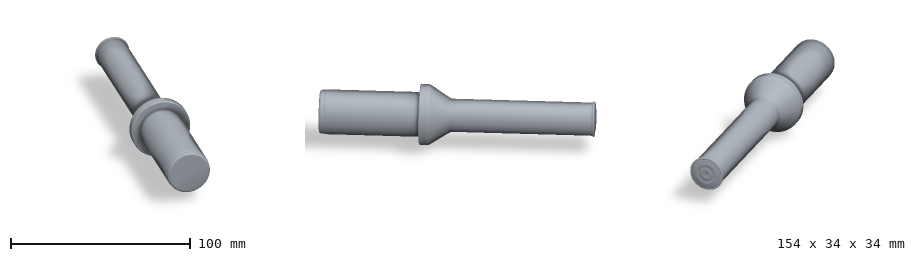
import cadquery as cq
import math

total_length = 154.0

shaft_radius = 18.5 / 2
bead_face_radius = 9.0
bead_peak_x = 1.0
bead_peak_radius = 9.9
bead_back_x = 1.5
bead_back_radius = 9.7
bead_end_x = 2.6

tail_length = bead_end_x - bead_back_x
tail_rise = bead_back_radius - shaft_radius
tail_arc_radius = (tail_length**2 + tail_rise**2) / (2 * tail_rise)
tail_half_angle = math.asin(tail_length / tail_arc_radius) / 2
tail_middle_x = bead_end_x - tail_arc_radius * math.sin(tail_half_angle)
tail_middle_radius = shaft_radius + tail_arc_radius * (1 - math.cos(tail_half_angle))

flange_radius = 34.0 / 2
flange_back_x = 98.1
flange_chamfer = 0.5
shoulder_angle = math.radians(32.5)
shoulder_end_x = 92.9
shoulder_length = (flange_radius - shaft_radius) / math.tan(shoulder_angle)
shoulder_start_x = shoulder_end_x - shoulder_length
shoulder_root_fillet = 4.6
shoulder_crest_fillet = 3.1

relief_radius = 24.5 / 2
land_radius = 25.0 / 2
land_front_x = 98.9
land_front_taper = 1.0
land_back_x = 150.9
land_back_taper = 0.5
end_round = 1.4

tip_radius = 8.2
tip_depth = 15.4
outer_ridge_radius = 5.9
valley_radius = 4.3
inner_ridge_radius = 2.6
face_slope = 0.2
valley_x = face_slope * (outer_ridge_radius - valley_radius)
inner_ridge_x = valley_x - face_slope * (valley_radius - inner_ridge_radius)
dimple_x = inner_ridge_x + face_slope * inner_ridge_radius
face_setback = max(0, -inner_ridge_x)


def outer_face_x(radius):
    """X of the outermost cone of the end face at a given radius."""
    return face_setback + face_slope * (radius - outer_ridge_radius)


def revolve_about_x(profile):
    """Turn a closed X-radius profile about the X axis."""
    return profile.close().revolve(360, (0, 0, 0), (1, 0, 0))


def round_edge_at(body, x, fillet_radius):
    """Fillet the circular edge that lies in the plane at the given X."""
    half_window = 0.02
    window = cq.selectors.BoxSelector(
        (x - half_window, -half_window, -half_window),
        (x + half_window, half_window, half_window),
    )
    return body.edges(window).fillet(fillet_radius)


def make_mandrel():
    profile = (
        cq.Workplane("XY")
        .moveTo(tip_depth, 0)
        .lineTo(tip_depth, tip_radius)
        .lineTo(outer_face_x(tip_radius), tip_radius)
        .lineTo(outer_face_x(bead_face_radius), bead_face_radius)
        .threePointArc((bead_peak_x, bead_peak_radius), (bead_back_x, bead_back_radius))
        .threePointArc((tail_middle_x, tail_middle_radius), (bead_end_x, shaft_radius))
        .lineTo(shoulder_start_x, shaft_radius)
        .lineTo(shoulder_end_x, flange_radius)
        .lineTo(flange_back_x - flange_chamfer, flange_radius)
        .lineTo(flange_back_x, flange_radius - flange_chamfer)
        .lineTo(flange_back_x, relief_radius)
        .lineTo(land_front_x, relief_radius)
        .lineTo(land_front_x + land_front_taper, land_radius)
        .lineTo(land_back_x - land_back_taper, land_radius)
        .lineTo(land_back_x, relief_radius)
        .lineTo(total_length, relief_radius)
        .lineTo(total_length, 0)
    )
    mandrel = revolve_about_x(profile)
    mandrel = round_edge_at(mandrel, shoulder_start_x, shoulder_root_fillet)
    mandrel = round_edge_at(mandrel, shoulder_end_x, shoulder_crest_fillet)

    return mandrel.faces(">X").edges().fillet(end_round)


def make_tip():
    profile = (
        cq.Workplane("XY")
        .moveTo(face_setback + dimple_x, 0)
        .lineTo(face_setback + inner_ridge_x, inner_ridge_radius)
        .lineTo(face_setback + valley_x, valley_radius)
        .lineTo(face_setback, outer_ridge_radius)
        .lineTo(outer_face_x(tip_radius), tip_radius)
        .lineTo(tip_depth, tip_radius)
        .lineTo(tip_depth, 0)
    )
    return revolve_about_x(profile)


mandrel = make_mandrel()
tip = make_tip()
result = cq.Compound.makeCompound([mandrel.val(), tip.val()])